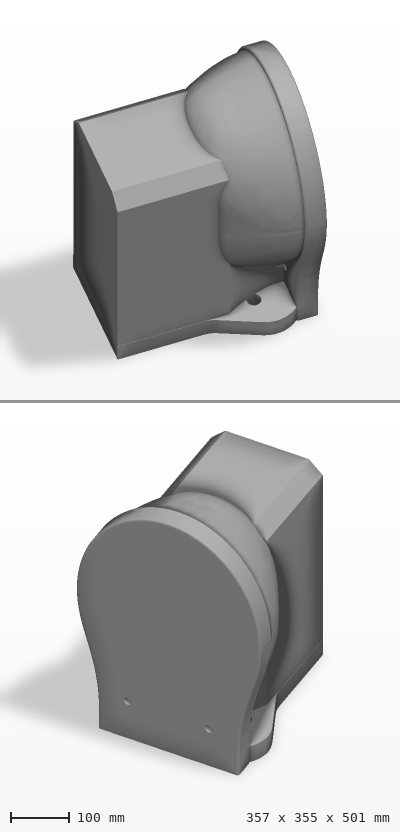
import cadquery as cq

TOTAL_HEIGHT = 501.0
TOTAL_DEPTH = 355.0
RIM_THICKNESS = 40.0
RIM_HALF_WIDTH = 178.5
RIM_FOOT_HALF_WIDTH = 135.5
RIM_FOOT_HEIGHT = 45.0
RIM_FLANK_POINT = (154.0, 166.5)
RIM_EDGE_RADIUS = 4.0
MID_HEIGHT = 290.5

BOWL_BOTTOM_HEIGHT = 95.0
BOWL_SECTIONS = [
    (RIM_THICKNESS, 172.0, 492.5, 5.0),
    (62.5, 171.5, 484.5, 7.5),
    (91.5, 163.5, 474.5, 10.0),
    (121.0, 147.5, 466.0, 20.0),
    (150.5, 127.5, 455.0, 32.5),
    (170.5, 108.0, 438.5, 40.0),
    (183.0, 91.5, 418.0, 40.0),
]

BLOCK_HALF_WIDTH = 107.5
BLOCK_HEIGHT = 419.5
BLOCK_FRONT_DEPTH = 153.5
BLOCK_CHAMFER_WIDTH = 27.0
BLOCK_CHAMFER_HEIGHT = 25.0

NECK_HALF_WIDTH = 72.5
NECK_STRAIGHT_DEPTH = 63.0
NECK_FLARE_POINT = (86.0, 110.0)

BASE_THICKNESS = 35.0
EAR_START_HALF_WIDTH = 133.5
EAR_HALF_WIDTH = 149.0
EAR_TIP_DEPTH = 75.0
EAR_FLANK_START = (143.5, 106.5)
EAR_FLANK_END = (112.0, 178.0)
EAR_END_DEPTH = 201.5
BASE_HALF_WIDTH = 108.0

FLOOR_HOLE_DIAMETER = 25.0
FLOOR_HOLE_X = 92.5
FLOOR_HOLE_DEPTH = 101.5
RIM_HOLE_DIAMETER = 15.0
RIM_HOLE_X = 78.5
RIM_HOLE_Z = 81.0
RIM_HOLE_LENGTH = 53.5


def make_rim_holes():
    """Two bores along -Y that pass through the rim and end blind in the neck."""
    return (
        cq.Workplane("XZ")
        .pushPoints([(-RIM_HOLE_X, RIM_HOLE_Z), (RIM_HOLE_X, RIM_HOLE_Z)])
        .circle(RIM_HOLE_DIAMETER / 2)
        .extrude(RIM_HOLE_LENGTH)
    )


def make_rim():
    """Egg-shaped slab: half ellipse on top, flanks drawn in to a straight-sided foot."""
    crown_radius = TOTAL_HEIGHT - MID_HEIGHT
    flank_x, flank_z = RIM_FLANK_POINT
    up = (0, 1)
    down = (0, -1)
    rim = (
        cq.Workplane("XZ")
        .moveTo(-RIM_FOOT_HALF_WIDTH, 0)
        .lineTo(RIM_FOOT_HALF_WIDTH, 0)
        .lineTo(RIM_FOOT_HALF_WIDTH, RIM_FOOT_HEIGHT)
        .spline([(flank_x, flank_z), (RIM_HALF_WIDTH, MID_HEIGHT)], tangents=[up, up], includeCurrent=True)
        .ellipseArc(RIM_HALF_WIDTH, crown_radius, 0, 180, startAtCurrent=True)
        .spline(
            [(-flank_x, flank_z), (-RIM_FOOT_HALF_WIDTH, RIM_FOOT_HEIGHT)],
            tangents=[down, down],
            includeCurrent=True,
        )
        .close()
        .extrude(RIM_THICKNESS)
    )
    rim = rim.faces("<Y or >Y").edges("not <Z").fillet(RIM_EDGE_RADIUS)
    return rim.cut(make_rim_holes())


def bowl_section(depth, half_width, crown_height, half_side):
    """Closed wire of an upper and a lower half ellipse with upright sides between them."""
    side_top = MID_HEIGHT + half_side
    side_bottom = MID_HEIGHT - half_side
    return (
        cq.Workplane("XZ", origin=(0, -depth, 0))
        .moveTo(half_width, side_bottom)
        .lineTo(half_width, side_top)
        .ellipseArc(half_width, crown_height - side_top, 0, 180, startAtCurrent=True)
        .lineTo(-half_width, side_bottom)
        .ellipseArc(half_width, side_bottom - BOWL_BOTTOM_HEIGHT, 180, 360, startAtCurrent=True)
        .close()
        .val()
    )


def make_bowl():
    sections = [bowl_section(*section) for section in BOWL_SECTIONS]
    return cq.Workplane(cq.Solid.makeLoft(sections))


def make_block():
    """Upright block whose two upper long edges are cut off at an angle."""
    shoulder_height = BLOCK_HEIGHT - BLOCK_CHAMFER_HEIGHT
    top_half_width = BLOCK_HALF_WIDTH - BLOCK_CHAMFER_WIDTH
    return (
        cq.Workplane("XZ", origin=(0, -BLOCK_FRONT_DEPTH, 0))
        .moveTo(-BLOCK_HALF_WIDTH, 0)
        .lineTo(BLOCK_HALF_WIDTH, 0)
        .lineTo(BLOCK_HALF_WIDTH, shoulder_height)
        .lineTo(top_half_width, BLOCK_HEIGHT)
        .lineTo(-top_half_width, BLOCK_HEIGHT)
        .lineTo(-BLOCK_HALF_WIDTH, shoulder_height)
        .close()
        .extrude(TOTAL_DEPTH - BLOCK_FRONT_DEPTH)
    )


def make_neck():
    """Column from the floor up into the bowl, flaring to the width of the block."""
    flare_x, flare_depth = NECK_FLARE_POINT
    half = (
        cq.Workplane("XY")
        .moveTo(0, -RIM_THICKNESS)
        .lineTo(NECK_HALF_WIDTH, -RIM_THICKNESS)
        .lineTo(NECK_HALF_WIDTH, -NECK_STRAIGHT_DEPTH)
        .threePointArc((flare_x, -flare_depth), (BLOCK_HALF_WIDTH, -BLOCK_FRONT_DEPTH))
        .lineTo(0, -BLOCK_FRONT_DEPTH)
        .close()
        .extrude(MID_HEIGHT)
    )
    return half.union(half.mirror("YZ"))


def make_base():
    """Floor plate: rounded ears beside the neck run back into the sides of the block."""
    flank_start_x, flank_start_depth = EAR_FLANK_START
    flank_end_x, flank_end_depth = EAR_FLANK_END
    half = (
        cq.Workplane("XY")
        .moveTo(0, -RIM_THICKNESS)
        .lineTo(EAR_START_HALF_WIDTH, -RIM_THICKNESS)
        .spline(
            [(EAR_HALF_WIDTH, -EAR_TIP_DEPTH), (flank_start_x, -flank_start_depth)],
            includeCurrent=True,
        )
        .lineTo(flank_end_x, -flank_end_depth)
        .spline(
            [(BASE_HALF_WIDTH, -EAR_END_DEPTH)],
            tangents=[(flank_end_x - flank_start_x, flank_start_depth - flank_end_depth), (0, -1)],
            includeCurrent=True,
        )
        .lineTo(BASE_HALF_WIDTH, -TOTAL_DEPTH)
        .lineTo(0, -TOTAL_DEPTH)
        .close()
        .extrude(BASE_THICKNESS)
    )
    holes = (
        cq.Workplane("XY")
        .pushPoints([(-FLOOR_HOLE_X, -FLOOR_HOLE_DEPTH), (FLOOR_HOLE_X, -FLOOR_HOLE_DEPTH)])
        .circle(FLOOR_HOLE_DIAMETER / 2)
        .extrude(BASE_THICKNESS)
    )
    return half.union(half.mirror("YZ")).cut(holes)


def make_bowl_body():
    """Bowl, block, neck and base plate as one solid."""
    body = make_base().union(make_neck()).union(make_block()).union(make_bowl())
    return body.cut(make_rim_holes())


rim = make_rim()
bowl_body = make_bowl_body()

result = cq.Compound.makeCompound([rim.val(), bowl_body.val()])